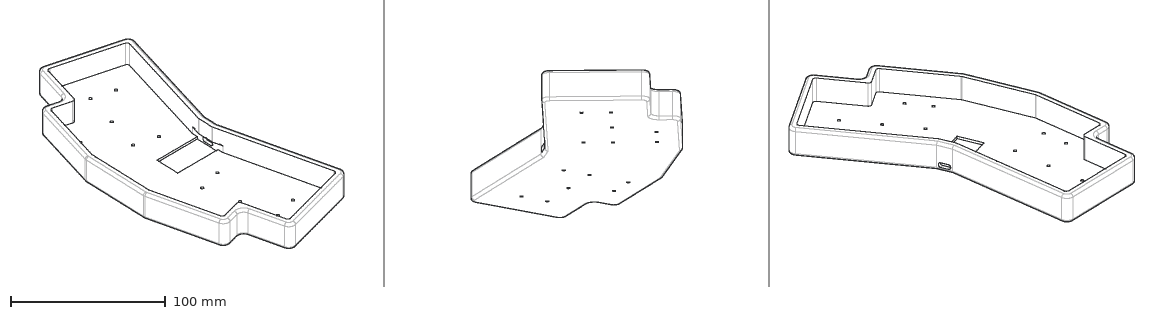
import cadquery as cq
import math

overall_width = 234.5
overall_depth = 110.5
height = 20.6

key_pitch = 19.0
wing_tilt = math.radians(15)
back_wall_length = 98.0
end_wall_length = 69.9
step_length = 2 * key_pitch
step_depth = key_pitch

wall = 5.0
floor = 3.0
outer_corner_radius = 5.2
inner_corner_radius = 2.0
rim_radius = 2.0

hole_diameter = 2.0
hole_inset = 25.5
hole_grid = [(0, 0), (0, 1), (1.5, 0), (3, 0), (3, 1), (2, -1.5), (3, -1.5)]

bay_width = 19.2
bay_front_y = 47.1
bay_depth = 1.9
recess_width = 32.8
recess_height = 5.5
recess_into_wall = 2.0
port_width = 9.0
port_height = 3.5
port_below_floor = 0.5

cos_tilt = math.cos(wing_tilt)
sin_tilt = math.sin(wing_tilt)

corner_pull_in = outer_corner_radius * (cos_tilt + sin_tilt - 1)


def shift(point, along, up):
    """Move a point of the left wing along its back wall and up its end wall."""
    x = point[0] + along * cos_tilt + up * sin_tilt
    y = point[1] - along * sin_tilt + up * cos_tilt
    return (x, y)


def mirrored(points):
    return [(-x, y) for x, y in points]


end_front = (
    -overall_width / 2 - corner_pull_in,
    overall_depth + corner_pull_in - end_wall_length * cos_tilt,
)
end_back = shift(end_front, 0, end_wall_length)
middle_back = shift(end_back, back_wall_length, 0)
step_inside = shift(end_front, step_length, 0)
step_outside = shift(step_inside, 0, -step_depth)
middle_front = shift(step_outside, step_outside[1] / sin_tilt, 0)

left_outline = [middle_back, end_back, end_front, step_inside, step_outside, middle_front]
outline = left_outline + mirrored(left_outline[::-1])


def make_body():
    block = cq.Workplane("XY").polyline(outline).close().extrude(height)
    rounded = block.edges("|Z").filter(lambda edge: abs(edge.Center().x) > bay_width / 2)
    block = rounded.fillet(outer_corner_radius)
    return block.faces("<Z or >Z").edges().fillet(rim_radius)


def make_cavity():
    cavity = cq.Workplane("XY", origin=(0, 0, floor)).polyline(outline).close()
    cavity = cavity.offset2D(-wall, "intersection").extrude(height)
    return cavity.edges("|Z").fillet(inner_corner_radius)


def make_screw_holes():
    first_hole = shift(end_front, hole_inset, hole_inset)
    left = [shift(first_hole, i * key_pitch, j * key_pitch) for i, j in hole_grid]
    holes = cq.Workplane("XY").pushPoints(left + mirrored(left))
    return holes.circle(hole_diameter / 2).extrude(height)


def make_connector_space():
    inner_back_y = middle_back[1] - wall
    recess_back_y = inner_back_y + recess_into_wall
    bay_floor = floor - bay_depth
    port_z = floor - port_below_floor + port_height / 2

    def box_behind(front_y, width, bottom, box_height):
        """Box centred on X that ends at the back of the recess."""
        corner_aligned = (True, False, False)
        box = cq.Workplane("XY", origin=(0, front_y, bottom))
        return box.box(width, recess_back_y - front_y, box_height, centered=corner_aligned)

    bay = box_behind(bay_front_y, bay_width, bay_floor, floor)
    recess = box_behind(inner_back_y - wall, recess_width, floor, recess_height)
    port = (
        cq.Workplane("XZ", origin=(0, inner_back_y, port_z))
        .slot2D(port_width, port_height)
        .extrude(-2 * wall)
    )
    return bay.union(recess).union(port)


result = make_body().cut(make_cavity()).cut(make_screw_holes()).cut(make_connector_space())